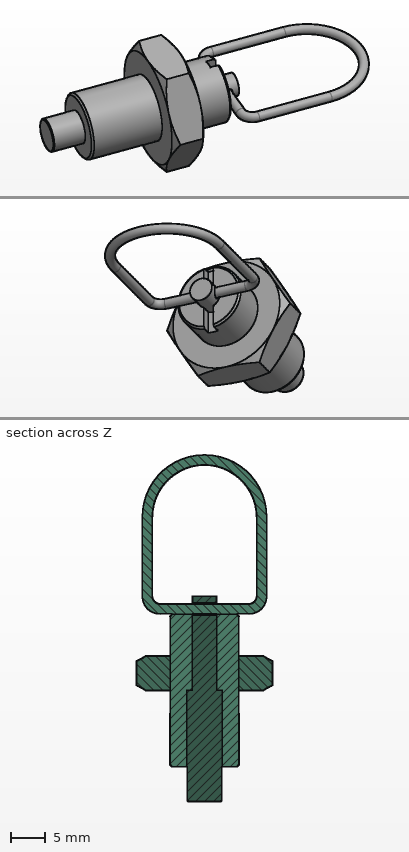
import cadquery as cq
import math


sleeve_diameter = 10.0
sleeve_front = 5.0
sleeve_back = 27.0
sleeve_chamfer = 0.3
slot_width = 1.5
slot_depth = 1.5

nut_across_flats = 17.0
nut_front = 16.0
nut_thickness = 5.0
nut_chamfer_angle = math.radians(30)

pin_diameter = 5.0
pin_tip_chamfer = 0.15
pin_shoulder = nut_front
stem_diameter = 3.5
stem_end = 29.6
ring_hole_diameter = 1.7

wire_diameter = 1.5
ring_width = 18.0
ring_end = 50.0
ring_outer_corner_radius = 2.6
ring_base = sleeve_back + wire_diameter / 2


def cylinder_y(diameter, start, end):
    """Solid cylinder on the Y axis between two Y positions."""
    direction = cq.Vector(0, 1, 0)
    return cq.Workplane(cq.Solid.makeCylinder(diameter / 2, end - start, cq.Vector(0, start, 0), direction))


def make_sleeve():
    """Round sleeve with a stepped bore for the pin and a slot across its back end."""
    sleeve = cylinder_y(sleeve_diameter, sleeve_front, sleeve_back).edges().chamfer(sleeve_chamfer)
    sleeve = sleeve.cut(cylinder_y(pin_diameter, sleeve_front, pin_shoulder))
    sleeve = sleeve.cut(cylinder_y(stem_diameter, pin_shoulder, sleeve_back))
    slot = (
        cq.Workplane("XY")
        .box(slot_width, slot_depth, sleeve_diameter)
        .translate((0, sleeve_back - slot_depth / 2, 0))
    )
    return sleeve.cut(slot)


def make_nut():
    """Hexagon nut with corners on the X axis, turned conically on both faces."""
    across_corners = nut_across_flats / math.cos(math.pi / 6)
    nut_back = nut_front + nut_thickness
    face_radius = nut_across_flats / 2
    corner_radius = across_corners / 2
    corner_drop = (corner_radius - face_radius) * math.tan(nut_chamfer_angle)
    hexagon = (
        cq.Workplane("XZ", origin=(0, nut_front, 0))
        .polygon(6, across_corners)
        .extrude(-nut_thickness)
    )
    turned_blank = (
        cq.Workplane("XY")
        .moveTo(0, nut_front)
        .lineTo(face_radius, nut_front)
        .lineTo(corner_radius, nut_front + corner_drop)
        .lineTo(corner_radius, nut_back - corner_drop)
        .lineTo(face_radius, nut_back)
        .lineTo(0, nut_back)
        .close()
        .revolve(360, (0, 0, 0), (0, 1, 0))
    )
    bore = cylinder_y(sleeve_diameter, nut_front, nut_back)
    return hexagon.intersect(turned_blank).cut(bore)


def make_pin():
    """Pin with a chamfered tip and a thinner stem, cross-drilled for the ring."""
    tip = cylinder_y(pin_diameter, 0, pin_shoulder).faces("<Y").chamfer(pin_tip_chamfer)
    stem = cylinder_y(stem_diameter, pin_shoulder, stem_end)
    ring_hole = (
        cq.Workplane("YZ")
        .center(ring_base, 0)
        .circle(ring_hole_diameter / 2)
        .extrude(stem_diameter / 2, both=True)
    )
    return tip.union(stem).cut(ring_hole)


def make_ring():
    """Closed D-shaped wire ring in the XY plane."""
    half_width = (ring_width - wire_diameter) / 2
    bow_start = ring_end - ring_width / 2
    bow_top = ring_end - wire_diameter / 2
    bend_radius = ring_outer_corner_radius - wire_diameter / 2
    bend_x = half_width - bend_radius
    bend_y = ring_base + bend_radius
    path = (
        cq.Workplane("XY")
        .moveTo(0, ring_base)
        .lineTo(bend_x, ring_base)
        .radiusArc((half_width, bend_y), -bend_radius)
        .lineTo(half_width, bow_start)
        .threePointArc((0, bow_top), (-half_width, bow_start))
        .lineTo(-half_width, bend_y)
        .radiusArc((-bend_x, ring_base), -bend_radius)
        .close()
    )
    return cq.Workplane("YZ").center(ring_base, 0).circle(wire_diameter / 2).sweep(path)


sleeve = make_sleeve()
nut = make_nut()
pin = make_pin()
ring = make_ring()

result = cq.Compound.makeCompound([body.solids().val() for body in (sleeve, nut, pin, ring)])